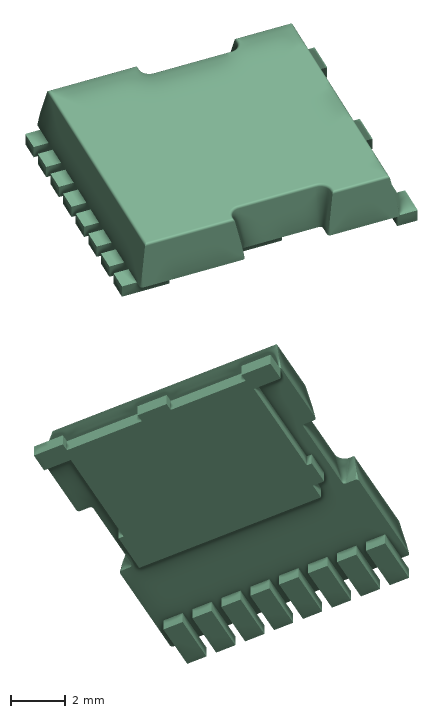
import cadquery as cq

total_length = 11.68
lead_thickness = 0.5
body_height = 1.8

body_width = 9.9
lead_overhang = 0.6
tab_overhang = 0.7
base_corner_radius = 0.1
draft_angle = 10.0
top_edge_radius = 0.1

notch_depth = 0.6
notch_front_y = -1.05
notch_back_y = 2.24

lead_count = 8
lead_row_span = 8.4
lead_width = 0.8
lead_length = 1.9

plate_width = 9.81
plate_edge_setback = 0.33
plate_tab_width = 1.2
plate_shoulder_y = 5.02
plate_neck_width = 7.59
plate_ear_width = 8.0
plate_ear_back_y = 0.8
plate_front_y = -0.84
gate_corner_x = -3.54
gate_corner_y = -0.2

lead_pitch = lead_row_span / (lead_count - 1)
front_y = -total_length / 2
back_y = total_length / 2
body_front_y = front_y + lead_overhang
body_back_y = back_y - tab_overhang
body_side_x = body_width / 2
notch_floor_x = body_side_x - notch_depth


def box_between(x_range, y_range, height):
    """Box standing on Z = 0 between two X values and two Y values."""
    x_min, x_max = x_range
    y_min, y_max = y_range
    return (
        cq.Workplane("XY")
        .box(x_max - x_min, y_max - y_min, height, centered=False)
        .translate((x_min, y_min, 0))
    )


def centered_box(width, y_range, height):
    """Box standing on Z = 0, centred on X."""
    return box_between((-width / 2, width / 2), y_range, height)


def notched_block():
    """Straight-sided block with the rounded plan outline of the body's base."""
    block = centered_box(body_width, (body_front_y, body_back_y), body_height)
    notch_range = (notch_front_y, notch_back_y)
    right_notch = box_between((notch_floor_x, body_side_x), notch_range, body_height)
    block = block.cut(right_notch).cut(right_notch.mirror("YZ"))
    return block.edges("|Z").fillet(base_corner_radius)


def make_body():
    """Body whose walls lean inwards from the base outline, with a rounded top rim."""
    block = notched_block()
    base_outline = block.faces("<Z").wires().toPending()
    drafted = base_outline.extrude(body_height, taper=draft_angle, combine=False)
    drafted = drafted.faces(">Z").edges().fillet(top_edge_radius)
    return drafted.translate((0, 0, lead_thickness))


def make_leads():
    """Row of equal leads, evenly spaced about X = 0."""
    lead_y = front_y + lead_length / 2
    return (
        cq.Workplane("XY")
        .center(0, lead_y)
        .rarray(lead_pitch, 0.12, lead_count, 1)
        .rect(lead_width, lead_length)
        .extrude(lead_thickness)
    )


def make_drain_plate():
    """Plate with three back tabs, a narrow neck and side ears, cut away at its gate corner."""
    edge_y = back_y - plate_edge_setback
    plate = centered_box(plate_width, (plate_shoulder_y, edge_y), lead_thickness)
    plate = plate.union(centered_box(plate_neck_width, (plate_front_y, edge_y), lead_thickness))
    plate = plate.union(centered_box(plate_ear_width, (plate_front_y, plate_ear_back_y), lead_thickness))
    outer_tab_x = (plate_width - plate_tab_width) / 2
    tab = centered_box(plate_tab_width, (plate_shoulder_y, back_y), lead_thickness)
    for tab_x in (-outer_tab_x, 0, outer_tab_x):
        plate = plate.union(tab.translate((tab_x, 0, 0)))
    gate_corner = box_between(
        (-plate_ear_width / 2, gate_corner_x), (plate_front_y, gate_corner_y), lead_thickness
    )
    return plate.cut(gate_corner)


result = make_body().union(make_leads()).union(make_drain_plate())